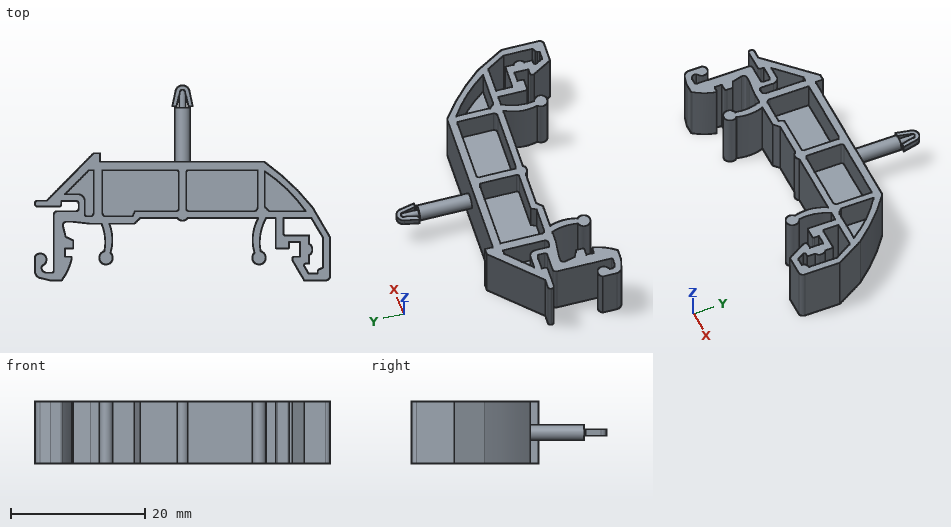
import cadquery as cq
import math

length = 44.0
thickness = 9.3
mid_z = thickness / 2
pin_x = length / 2
tip_y = 29.1
top_y = 17.75
wall = 1.28
low_y = 8.45
under_y = 9.3
web_thickness = 5.0
small_r = 0.2
medium_r = 0.35
large_r = 0.55

tab_low_y, tab_high_y = 11.0, 11.92
tab_end_x = 3.95
tab_end_r = 0.45
slot_end_x, slot_low_y, slot_high_y = 6.5, 10.35, 11.85
low_start_x = 8.25
lip_left_x, lip_right_x, lip_y = 8.75, 9.72, 18.95
slope_foot_x = 1.8
step_low_x, step_high_x = 14.85, 15.7
shoulder_x = 34.15
bend_x, bend_y = 41.4, 10.85
bulge_mid = (38.45, 14.12)
corner_y = 6.42
flank_slope = (length - bend_x) / (bend_y - corner_y)
flank_under_x = length - flank_slope * (under_y - corner_y)
nub_r, nub_depth = 0.92, 0.4

cell_top_y = top_y - wall
cell_low_y = 9.55
cell_mid_y = 10.35
cell_1_left_x, cell_1_right_x = 4.5, 8.75
cell_1_shelf_y = 12.85
cell_1_leg_x, cell_1_bend_r = 7.45, 1.0
cell_2_left_x, cell_2_right_x = 10.08, 21.45
cell_2_step_low_x, cell_2_step_high_x = 14.55, 14.9
cell_3_left_x, cell_3_right_x = 22.55, 33.18
cell_4_left_x, cell_4_right_x = 34.25, 40.35
cell_4_peak_y, cell_4_bulge = 16.3, (37.0, 14.12)
cell_4_cut = 0.65

gap_low_y, gap_high_y = 3.55, 4.75

arm_outer_x, arm_inner_x = 2.8, 4.55
arm_root_x, arm_root_y = 4.05, 8.75
root_flat_end_x = 5.5
upper_tooth_x, upper_tooth_y = 5.75, 6.0
tooth_foot_x, tooth_foot_y = 4.6, 6.5
lower_tooth_x = 5.6
lower_tooth_mid = (4.95, 1.65)
foot_left_x, foot_right_x = 2.3, 4.0
heel_x, heel_y = 0.7, 0.4
heel_mid, heel_top_y = (0.2, 0.8), 1.35
hook_floor_y, hook_floor_x = 1.2, 1.8
hook_neck_x, hook_neck_y = 1.05, 2.1
hook_mid = (1.25, 1.4)
bead_x, bead_y, bead_r = 0.85, 3.12, 0.92
bead_start_angle, bead_mid_angle = math.radians(-55), math.radians(45)
bead_end_y = bead_y + math.sqrt(bead_r**2 - bead_x**2)

leg_offset = 11.4
leg_bead_y, leg_bead_r = 3.4, 1.0
leg_near_root_x, leg_near_mid, leg_near_end = 33.25, (32.45, 6.15), (32.7, 4.2)
leg_far_root_x, leg_far_mid, leg_far_end = 34.45, (33.55, 5.95), (33.65, 4.3)

post_x, post_inner_x = 35.85, 37.05
jaw_x, jaw_y = 37.9, 5.7
jaw_back_x = 39.45
jaw_nose_x, jaw_nose_y = 38.35, 3.0
sole_left_x = 40.15
sole_r = 0.7
shelf_y = 6.75
tongue_x, tongue_y = 40.88, 2.5
notch_x = 40.15
notch_low_y = 2.2
opening_floor_y = 1.05
opening_floor_left_x, opening_floor_right_x = 40.8, 42.1
ledge_low_y, ledge_mid, ledge_high_y = 1.45, (42.35, 1.65), 1.95
wall_inner_x = 42.9
wall_bend_x = 41.2
bump_r, bump_y, bump_height = 0.95, 4.6, 0.5

pin_diameter, pin_top_y = 2.35, 25.75
neck_diameter = 1.0
head_thickness = neck_diameter
barb_y = 25.95
barb_outer, barb_inner = 1.55, 0.9
crown_outer, crown_outer_y = 1.05, 28.2
crown_inner, crown_inner_y = 0.4, 28.0
crown_top_y = 28.42


def plate(points):
    """Straight-sided outline through the full thickness."""
    return cq.Workplane("XY").polyline(points).close().extrude(thickness)


def disc(x, y, radius):
    return cq.Workplane("XY").center(x, y).circle(radius).extrude(thickness)


def round_corners(body, corners, radius):
    """Fillet the upright edges that stand at the given corners."""
    edges = []
    for x, y in corners:
        edges += body.edges("|Z").edges(cq.selectors.NearestToPointSelector((x, y, mid_z))).vals()
    return body.newObject(edges).fillet(radius)


def make_frame():
    frame = (
        cq.Workplane("XY")
        .moveTo(0, tab_low_y)
        .lineTo(tab_end_x, tab_low_y)
        .lineTo(tab_end_x, slot_high_y)
        .lineTo(slot_end_x, slot_high_y)
        .lineTo(slot_end_x, slot_low_y)
        .lineTo(low_start_x, low_y)
        .lineTo(step_low_x, low_y)
        .lineTo(step_high_x, under_y)
        .lineTo(flank_under_x, under_y)
        .lineTo(bend_x, bend_y)
        .threePointArc(bulge_mid, (shoulder_x, top_y))
        .lineTo(lip_right_x, top_y)
        .lineTo(lip_right_x, lip_y)
        .lineTo(lip_left_x, lip_y)
        .lineTo(slope_foot_x, tab_high_y)
        .lineTo(0, tab_high_y)
        .close()
        .extrude(thickness)
    )
    frame = round_corners(frame, [(0, tab_low_y), (0, tab_high_y)], tab_end_r)
    frame = round_corners(frame, [(tab_end_x, tab_low_y)], medium_r)
    return frame.union(disc(pin_x, under_y - nub_depth + nub_r, nub_r))


def make_cells():
    cell_1 = (
        cq.Workplane("XY")
        .moveTo(cell_1_left_x, cell_1_shelf_y)
        .lineTo(cell_1_leg_x - cell_1_bend_r, cell_1_shelf_y)
        .radiusArc((cell_1_leg_x, cell_1_shelf_y - cell_1_bend_r), cell_1_bend_r)
        .lineTo(cell_1_leg_x, cell_low_y)
        .lineTo(cell_1_right_x, cell_low_y)
        .lineTo(cell_1_right_x, cell_top_y)
        .lineTo(cell_1_left_x + cell_top_y - cell_1_shelf_y, cell_top_y)
        .close()
        .extrude(thickness)
    )
    cell_1 = round_corners(cell_1, [(cell_1_leg_x, cell_low_y)], medium_r)
    cell_1 = round_corners(cell_1, [(cell_1_right_x, cell_low_y)], large_r)

    cell_2 = plate([
        (cell_2_left_x, cell_low_y),
        (cell_2_step_low_x, cell_low_y),
        (cell_2_step_high_x, cell_mid_y),
        (cell_2_right_x, cell_mid_y),
        (cell_2_right_x, cell_top_y),
        (cell_2_left_x, cell_top_y),
    ])
    cell_2 = round_corners(cell_2, [(cell_2_right_x, cell_mid_y), (cell_2_right_x, cell_top_y)], medium_r)
    cell_2 = round_corners(cell_2, [(cell_2_left_x, cell_low_y)], large_r)

    cell_3 = plate([
        (cell_3_left_x, cell_mid_y),
        (cell_3_right_x, cell_mid_y),
        (cell_3_right_x, cell_top_y),
        (cell_3_left_x, cell_top_y),
    ])
    cell_3 = round_corners(cell_3, [(cell_3_left_x, cell_mid_y), (cell_3_left_x, cell_top_y)], medium_r)
    cell_3 = round_corners(cell_3, [(cell_3_right_x, cell_mid_y)], large_r)

    cell_4 = (
        cq.Workplane("XY")
        .moveTo(cell_4_left_x, cell_4_peak_y)
        .lineTo(cell_4_left_x, cell_mid_y + cell_4_cut)
        .lineTo(cell_4_left_x + cell_4_cut, cell_mid_y)
        .lineTo(cell_4_right_x, cell_mid_y)
        .threePointArc(cell_4_bulge, (cell_4_left_x, cell_4_peak_y))
        .close()
        .extrude(thickness)
    )
    cells = cell_1.union(cell_2).union(cell_3).union(cell_4)
    return cells.translate((0, 0, web_thickness))


def bead_point(angle):
    return (bead_x + bead_r * math.cos(angle), bead_y + bead_r * math.sin(angle))


def make_left_clip():
    clip = (
        cq.Workplane("XY")
        .moveTo(low_start_x, slot_low_y)
        .lineTo(arm_outer_x, slot_low_y)
        .lineTo(arm_outer_x, hook_floor_y)
        .lineTo(hook_floor_x, hook_floor_y)
        .threePointArc(hook_mid, (hook_neck_x, hook_neck_y))
        .lineTo(*bead_point(bead_start_angle))
        .threePointArc(bead_point(bead_mid_angle), (0, bead_end_y))
        .lineTo(0, heel_top_y)
        .threePointArc(heel_mid, (heel_x, heel_y))
        .lineTo(foot_left_x, 0)
        .lineTo(foot_right_x, 0)
        .threePointArc(lower_tooth_mid, (lower_tooth_x, gap_low_y))
        .lineTo(arm_inner_x, gap_low_y)
        .lineTo(arm_inner_x, gap_high_y)
        .lineTo(upper_tooth_x, gap_high_y)
        .lineTo(upper_tooth_x, upper_tooth_y)
        .lineTo(tooth_foot_x, tooth_foot_y)
        .lineTo(arm_root_x, arm_root_y)
        .lineTo(root_flat_end_x, arm_root_y)
        .lineTo(low_start_x, low_y)
        .close()
        .extrude(thickness)
    )
    small_corners = [
        (arm_outer_x, hook_floor_y),
        (upper_tooth_x, gap_high_y),
        (lower_tooth_x, gap_low_y),
        (foot_right_x, 0),
    ]
    clip = round_corners(clip, small_corners, small_r)
    return round_corners(clip, [(arm_outer_x, slot_low_y), (arm_root_x, arm_root_y)], large_r)


def make_leg():
    leg_bead_x = pin_x + leg_offset
    leg = (
        cq.Workplane("XY")
        .moveTo(leg_near_root_x, under_y)
        .threePointArc(leg_near_mid, leg_near_end)
        .lineTo(leg_bead_x, leg_bead_y)
        .lineTo(*leg_far_end)
        .threePointArc(leg_far_mid, (leg_far_root_x, under_y))
        .close()
        .extrude(thickness)
    )
    return leg.union(disc(leg_bead_x, leg_bead_y, leg_bead_r))


def make_right_clip():
    clip = plate([
        (post_x, bend_y),
        (post_x, gap_high_y),
        (jaw_x, gap_high_y),
        (jaw_x, jaw_y),
        (jaw_back_x, jaw_y),
        (jaw_back_x, gap_low_y),
        (jaw_nose_x, gap_low_y),
        (jaw_nose_x, jaw_nose_y),
        (sole_left_x, 0),
        (length, 0),
        (length, corner_y),
        (bend_x, bend_y),
    ])
    clip = round_corners(clip, [(post_x, gap_high_y), (jaw_x, gap_high_y), (jaw_nose_x, gap_low_y)], small_r)
    clip = round_corners(clip, [(length, 0)], sole_r)

    opening = plate([
        (post_inner_x, under_y),
        (post_inner_x, shelf_y),
        (tongue_x, shelf_y),
        (tongue_x, tongue_y),
        (notch_x, tongue_y),
        (notch_x, notch_low_y),
        (opening_floor_left_x, opening_floor_y),
        (opening_floor_right_x, opening_floor_y),
        (opening_floor_right_x, ledge_low_y),
        ledge_mid,
        (wall_inner_x, ledge_high_y),
        (wall_inner_x, corner_y),
        (wall_bend_x, under_y),
    ])
    opening = round_corners(opening, [(post_inner_x, shelf_y), (notch_x, tongue_y)], small_r)
    bump = disc(tongue_x + bump_height - bump_r, bump_y, bump_r)
    return clip.cut(opening.cut(bump))


def make_pin():
    shaft = (
        cq.Workplane("XZ", origin=(pin_x, top_y - wall / 2, mid_z))
        .circle(pin_diameter / 2)
        .extrude(top_y - wall / 2 - pin_top_y)
    )
    neck = (
        cq.Workplane("XZ", origin=(pin_x, pin_top_y, mid_z))
        .circle(neck_diameter / 2)
        .extrude(pin_top_y - crown_top_y - small_r)
    )
    head = (
        cq.Workplane("XY", origin=(pin_x, 0, mid_z))
        .moveTo(-barb_outer, barb_y)
        .lineTo(-crown_outer, crown_outer_y)
        .threePointArc((0, tip_y), (crown_outer, crown_outer_y))
        .lineTo(barb_outer, barb_y)
        .lineTo(barb_inner, barb_y)
        .lineTo(crown_inner, crown_inner_y)
        .threePointArc((0, crown_top_y), (-crown_inner, crown_inner_y))
        .lineTo(-barb_inner, barb_y)
        .close()
        .extrude(head_thickness / 2, both=True)
    )
    return shaft.union(neck).union(head)


leg = make_leg()
frame = make_frame().union(make_left_clip())
frame = round_corners(frame, [(slot_end_x, slot_low_y), (slot_end_x, slot_high_y)], medium_r)
frame = frame.union(make_right_clip()).union(leg).union(leg.mirror("YZ", (pin_x, 0, 0)))
result = frame.cut(make_cells()).union(make_pin())